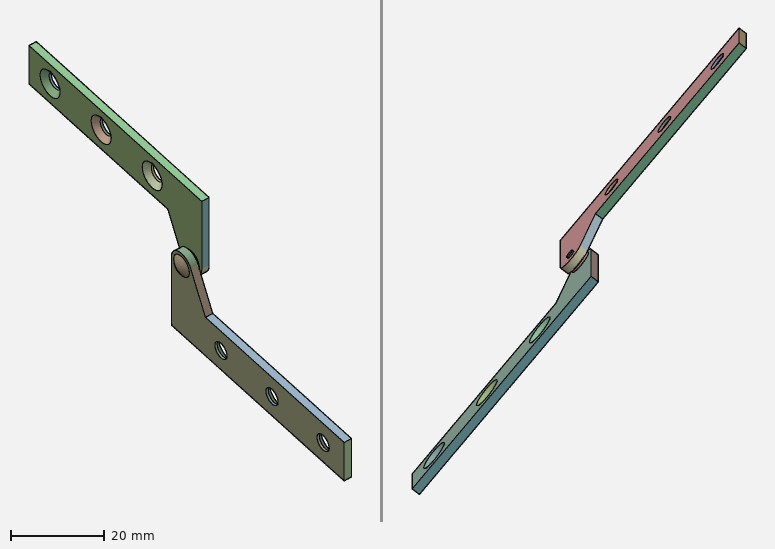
import cadquery as cq
import math

overall_length = 115.0
overall_height = 40.5
overall_depth = 6.1
leg_width = 7.2
arm_height = 11.4
shoulder_run = 4.8

hole_count = 3
hole_pitch = 18.0
hole_end_distance = 7.5
hole_diameter = 4.3
countersink_diameter = 7.0
countersink_angle = 90.0

pin_diameter = 2.0
pin_tail_length = 0.3
head_diameter = 5.5
head_height = 1.0
washer_diameter = 5.5
washer_thickness = 0.7

leaf_thickness = (overall_depth - pin_tail_length - head_height - washer_thickness) / 2
half_length = overall_length / 2
half_height = overall_height / 2
leg_radius = leg_width / 2
shoulder_x = -leg_radius - shoulder_run
arm_bottom = half_height - arm_height
rear_leaf_front = washer_thickness / 2
front_leaf_front = -washer_thickness / 2 - leaf_thickness
rear_leaf_back = rear_leaf_front + leaf_thickness


def y_cylinder(diameter, y_start, length):
    """Cylinder on the pivot axis, growing toward +Y from y_start."""
    plane = cq.Workplane("XZ", origin=(0, y_start, 0))
    return plane.circle(diameter / 2).extrude(-length)


def shoulder_tangent_point():
    """Point where the sloping shoulder meets the round leg end tangentially."""
    distance = math.hypot(shoulder_x, arm_bottom)
    angle = math.atan2(arm_bottom, shoulder_x) + math.acos(leg_radius / distance)
    return leg_radius * math.cos(angle), leg_radius * math.sin(angle)


def make_leaf_blank(front_y):
    """Arm with a round-ended leg whose end is centred on the pivot axis."""
    blank = (
        cq.Workplane("XZ", origin=(0, front_y, 0))
        .moveTo(-half_length, half_height)
        .lineTo(leg_radius, half_height)
        .lineTo(leg_radius, 0)
        .threePointArc((0, -leg_radius), shoulder_tangent_point())
        .lineTo(shoulder_x, arm_bottom)
        .lineTo(-half_length, arm_bottom)
        .close()
        .extrude(-leaf_thickness)
    )
    return blank.cut(y_cylinder(pin_diameter, front_y, leaf_thickness))


def make_leaf(front_y):
    """Leaf with a row of screw holes countersunk from its -Y face."""
    first_hole_x = -half_length + hole_end_distance
    hole_z = half_height - arm_height / 2
    hole_points = [(first_hole_x + i * hole_pitch, hole_z) for i in range(hole_count)]
    return (
        make_leaf_blank(front_y)
        .faces("<Y")
        .workplane(origin=(0, front_y, 0))
        .pushPoints(hole_points)
        .cskHole(hole_diameter, countersink_diameter, countersink_angle)
    )


def make_washer():
    """Spacer ring between the two leaves."""
    disc = y_cylinder(washer_diameter, -washer_thickness / 2, washer_thickness)
    return disc.cut(y_cylinder(pin_diameter, -washer_thickness / 2, washer_thickness))


def make_pin():
    """Rivet with a domed head on the front leaf and a short tail behind the rear leaf."""
    shank_length = rear_leaf_back + pin_tail_length - front_leaf_front
    shank = y_cylinder(pin_diameter, front_leaf_front, shank_length)
    head_radius = head_diameter / 2
    dome_radius = (head_radius**2 + head_height**2) / (2 * head_height)
    dome_center_y = front_leaf_front - head_height + dome_radius
    dome = cq.Workplane("XY").sphere(dome_radius).translate((0, dome_center_y, 0))
    head = y_cylinder(head_diameter, front_leaf_front - head_height, head_height).intersect(dome)
    return shank.union(head)


rear_leaf = make_leaf(rear_leaf_front)

front_leaf = rear_leaf.mirror("XY").mirror("YZ").mirror("XZ")

washer = make_washer()
pin = make_pin()

result = cq.Compound.makeCompound([rear_leaf.val(), front_leaf.val(), washer.val(), pin.val()])